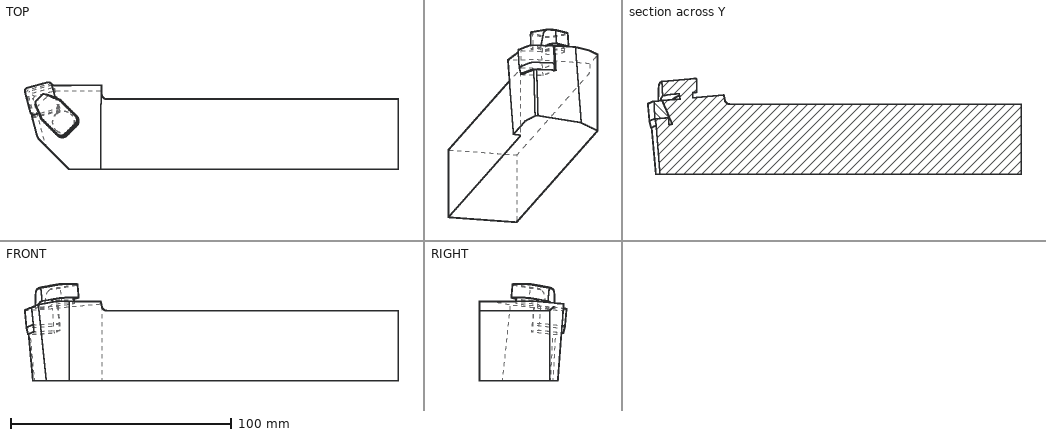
import cadquery as cq
import math

tool_length = 170.0
shank_size = 32.0
head_base_width = 35.7
head_height = 36.2
head_rear_x = 35.4
head_top_rear_x = 34.9
step_radius = 2.1
rear_corner_x = 20.5

functional_width = 40.0
insert_side = 12.7
insert_thickness = 7.94
nose_radius = 1.6
edge_angle = 15.0
shim_thickness = 3.18
shim_taper = 7.0

top_break_x = 9.5
corner_y = functional_width - insert_side * math.sin(math.radians(edge_angle))
break_distance = (corner_y + top_break_x) / math.sqrt(2)
top_tilt = math.degrees(math.atan((head_height - shank_size) / break_distance))

flank_lean = 4.3
corner_bevel_lean = 6.1
rear_bevel_lean = 2.9
relief_faces = [
    (90, head_base_width, flank_lean),
    (90 + edge_angle, 31.0, flank_lean),
    (150, 12.6, corner_bevel_lean),
    (180 + edge_angle, -12.2, flank_lean),
    (205, -13.58, rear_bevel_lean),
]

clamp_tip = (6.9, 32.5)
clamp_length = 21.5
clamp_width = 12.4
clamp_tip_width = 5.2
clamp_tip_taper = 8.4
clamp_end_radius = 3.0
clamp_underside = 2.2
clamp_top = 8.6
clamp_edge = 0.4
nose_length = 2.0
arch_end = 8.0
front_height = 6.6
front_setback = 2.0
arch_fullness = 0.75
brow_end = 5.0
brow_sagitta = 0.4
post_radius = 5.0
post_position = 15.7

big = 200.0


def face_cutter(angle, base_distance, lean):
    """Block outside a flat face whose foot recedes inwards by the lean angle."""
    a = math.radians(angle)
    tilt = math.radians(lean)
    foot = (base_distance * math.cos(a), base_distance * math.sin(a), 0)
    normal = (math.cos(a) * math.cos(tilt), math.sin(a) * math.cos(tilt), -math.sin(tilt))
    plane = cq.Plane(origin=foot, xDir=(-math.sin(a), math.cos(a), 0), normal=normal)
    return cq.Workplane(plane).rect(big, big).extrude(big)


def slope_plane(x, y):
    """Plane on the inclined top at a plan position; local X runs uphill, local Z is its normal."""
    tilt = math.radians(top_tilt)
    distance = (y - x + top_break_x) / math.sqrt(2)
    z = head_height - distance * math.tan(tilt)
    run = math.cos(tilt) / math.sqrt(2)
    rise = math.sin(tilt) / math.sqrt(2)
    return cq.Plane(
        origin=(x, y, z),
        xDir=(run, -run, math.sin(tilt)),
        normal=(-rise, rise, math.cos(tilt)),
    )


def make_blank():
    """Shank and head before the relief faces are cut."""
    step_end_x = head_rear_x + step_radius
    plan = (
        cq.Workplane("XY")
        .moveTo(0, rear_corner_x)
        .lineTo(rear_corner_x, 0)
        .lineTo(tool_length, 0)
        .lineTo(tool_length, shank_size)
        .lineTo(step_end_x, shank_size)
        .radiusArc((head_rear_x, shank_size + step_radius), step_radius)
        .lineTo(head_rear_x, functional_width)
        .lineTo(0, functional_width)
        .close()
        .extrude(head_height)
    )
    step = (
        cq.Workplane("XZ")
        .moveTo(head_top_rear_x, head_height)
        .lineTo(head_rear_x, shank_size + step_radius)
        .radiusArc((step_end_x, shank_size), -step_radius)
        .lineTo(tool_length, shank_size)
        .lineTo(tool_length, head_height)
        .close()
        .extrude(-functional_width)
    )
    return plan.cut(step)


def insert_block(depth, thickness, taper=0):
    """Square block under the inclined top, its sides along the insert edges, narrowing downwards."""
    plane = slope_plane(0, corner_y)
    down = cq.Plane(plane.origin, plane.xDir, -plane.zDir)
    half = insert_side / 2
    return (
        cq.Workplane(down)
        .workplane(offset=depth)
        .transformed(rotate=(0, 0, -45 - edge_angle))
        .center(half, half)
        .rect(insert_side, insert_side)
        .extrude(thickness, taper=taper)
    )


def round_corners(block):
    """Round the four upright edges of a square block."""
    normal = slope_plane(0, corner_y).zDir
    level_faces = cq.selectors.ParallelDirSelector(normal)
    level_edges = block.faces(level_faces).edges().vals()
    upright = [e for e in block.edges().vals() if not any(e.isSame(level) for level in level_edges)]
    return block.newObject(upright).fillet(nose_radius)


def make_clamp():
    """Clamp bar with its nose and post."""
    plane = slope_plane(*clamp_tip)
    half = clamp_width / 2
    half_tip = clamp_tip_width / 2
    bar = (
        cq.Workplane(plane)
        .moveTo(0, half_tip)
        .lineTo(clamp_tip_taper, half)
        .lineTo(clamp_length - clamp_end_radius, half)
        .radiusArc((clamp_length, half - clamp_end_radius), clamp_end_radius)
        .lineTo(clamp_length, clamp_end_radius - half)
        .radiusArc((clamp_length - clamp_end_radius, -half), clamp_end_radius)
        .lineTo(clamp_tip_taper, -half)
        .lineTo(0, -half_tip)
        .close()
        .extrude(clamp_top)
    )
    top_face = bar.faces(cq.selectors.DirectionMinMaxSelector(plane.zDir))
    bar = top_face.edges().chamfer(clamp_edge)

    arch_span = arch_end - nose_length
    arch_middle = (nose_length + arch_span / 2, clamp_underside * arch_fullness)
    profile = (
        cq.Workplane(cq.Plane(plane.origin, plane.xDir, -plane.yDir))
        .lineTo(nose_length, 0)
        .threePointArc(arch_middle, (arch_end, clamp_underside))
        .lineTo(clamp_length, clamp_underside)
        .lineTo(clamp_length, clamp_top)
        .lineTo(brow_end, clamp_top)
        .sagittaArc((front_setback, front_height), -brow_sagitta)
        .close()
        .extrude(clamp_width, both=True)
    )
    post = (
        cq.Workplane(plane)
        .center(post_position, 0)
        .circle(post_radius)
        .extrude((clamp_underside + clamp_top) / 2)
    )
    return bar.intersect(profile).union(post)


def make_holder():
    """Shank and head with the shim in the insert pocket and the clamp on top."""
    holder = make_blank()
    for angle, distance, lean in relief_faces:
        holder = holder.cut(face_cutter(angle, distance, lean))
    above_slope = cq.Workplane(slope_plane(0, corner_y)).rect(big, big).extrude(big)
    holder = holder.cut(above_slope)
    holder = holder.cut(insert_block(0, insert_thickness + shim_thickness))
    shim = round_corners(insert_block(insert_thickness, shim_thickness, shim_taper))
    return holder.union(shim).union(make_clamp())


def make_insert():
    """Square insert, flush with the inclined top of the head."""
    return round_corners(insert_block(0, insert_thickness))


holder = make_holder()
insert = make_insert()
result = cq.Compound.makeCompound([holder.val(), insert.val()])